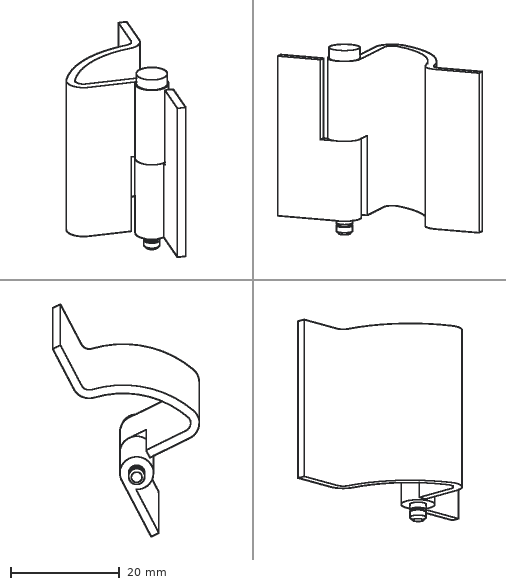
import cadquery as cq
import math

length = 40.0
height = 30.0
sheet = 1.6
bend_inner = 1.6
bend_outer = bend_inner + sheet

pin_diameter = 3.0
pin_radius = pin_diameter / 2
head_diameter = 5.7
head_height = 2.0
tail_length = 3.0
tail_chamfer = 0.5
groove_depth = 0.5
groove_width = 0.5
groove_top = -1.0

knuckle_radius = pin_radius + sheet
pin_x = 28.0
pin_y = -knuckle_radius
knuckle_height = height / 2
knuckle_clearance = 0.4

flange_length = 8.55
clip_depth = 18.0
clamp_radius = 18.0
wall_left = pin_x - knuckle_radius
wall_right = wall_left + sheet
flange_bend = (flange_length, -bend_outer)
bottom_bend = (wall_left - bend_inner, bend_outer - clip_depth)


def clamp_center():
    """Center of the clamping arc that is tangent to both bends."""
    dx = bottom_bend[0] - flange_bend[0]
    dy = bottom_bend[1] - flange_bend[1]
    span = math.hypot(dx, dy)
    from_flange = clamp_radius + bend_outer
    from_bottom = clamp_radius - bend_inner
    along = (from_flange**2 - from_bottom**2 + span**2) / (2 * span)
    across = math.sqrt(from_flange**2 - along**2)
    return (
        flange_bend[0] + (along * dx - across * dy) / span,
        flange_bend[1] + (along * dy + across * dx) / span,
    )


def polar(center, radius, angle):
    return (center[0] + radius * math.cos(angle), center[1] + radius * math.sin(angle))


def direction(start, end):
    return math.atan2(end[1] - start[1], end[0] - start[0])


def box(x_range, y_range, z_range):
    """Box between two limits along each axis."""
    size = [high - low for low, high in (x_range, y_range, z_range)]
    corner = (x_range[0], y_range[0], z_range[0])
    return cq.Workplane("XY").box(*size, centered=False).translate(corner)


def pin_cylinder(radius, bottom, top):
    """Cylinder on the pin axis."""
    base = cq.Workplane("XY", origin=(pin_x, pin_y, bottom))
    return base.circle(radius).extrude(top - bottom)


def clip_strip():
    """Constant-thickness bent strip, ending level with the pin axis."""
    center = clamp_center()
    flange_angle = direction(flange_bend, center)
    flange_mid = (math.pi / 2 + flange_angle) / 2
    bottom_angle = direction(center, bottom_bend)
    bottom_mid = bottom_angle / 2
    clamp_start = flange_angle - math.pi
    clamp_mid = (clamp_start + bottom_angle) / 2
    clamp_outer = clamp_radius + sheet
    return (
        cq.Workplane("XY")
        .moveTo(0, 0)
        .lineTo(flange_length, 0)
        .threePointArc(
            polar(flange_bend, bend_outer, flange_mid),
            polar(flange_bend, bend_outer, flange_angle),
        )
        .threePointArc(
            polar(center, clamp_radius, clamp_mid),
            polar(center, clamp_radius, bottom_angle),
        )
        .threePointArc(
            polar(bottom_bend, bend_inner, bottom_mid),
            (wall_left, bottom_bend[1]),
        )
        .lineTo(wall_left, pin_y)
        .lineTo(wall_right, pin_y)
        .lineTo(wall_right, bottom_bend[1])
        .threePointArc(
            polar(bottom_bend, bend_outer, bottom_mid),
            polar(bottom_bend, bend_outer, bottom_angle),
        )
        .threePointArc(
            polar(center, clamp_outer, clamp_mid),
            polar(center, clamp_outer, clamp_start),
        )
        .threePointArc(
            polar(flange_bend, bend_inner, flange_mid),
            (flange_length, -sheet),
        )
        .lineTo(0, -sheet)
        .close()
        .extrude(height)
    )


def make_clip():
    """Bent clip with the upper knuckle, notched to clear the lower one."""
    notch = box(
        (wall_left, wall_right),
        (pin_y - knuckle_radius - knuckle_clearance, 0),
        (0, knuckle_height),
    )
    knuckle = pin_cylinder(knuckle_radius, knuckle_height, height)
    bore = pin_cylinder(pin_radius, 0, height)
    return clip_strip().cut(notch).union(knuckle).cut(bore)


def make_leaf():
    """Flat leaf with the lower knuckle, cut back to clear the upper one."""
    plate_left = pin_x + knuckle_radius + knuckle_clearance
    plate = box((plate_left, length), (-sheet, 0), (0, height))
    neck = box((pin_x, plate_left), (-sheet, 0), (0, knuckle_height))
    knuckle = pin_cylinder(knuckle_radius, 0, knuckle_height)
    bore = pin_cylinder(pin_radius, 0, height)
    return plate.union(neck).union(knuckle).cut(bore)


def make_pin():
    """Headed pin with a chamfered end and a retaining-ring groove."""
    shank = pin_cylinder(pin_radius, -tail_length, height)
    shank = shank.faces("<Z").chamfer(tail_chamfer)
    groove_bottom = groove_top - groove_width
    groove = pin_cylinder(pin_radius, groove_bottom, groove_top).cut(
        pin_cylinder(pin_radius - groove_depth, groove_bottom, groove_top)
    )
    head = pin_cylinder(head_diameter / 2, height, height + head_height)
    return shank.cut(groove).union(head)


clip = make_clip()
leaf = make_leaf()
pin = make_pin()

result = cq.Compound.makeCompound([clip.val(), leaf.val(), pin.val()])